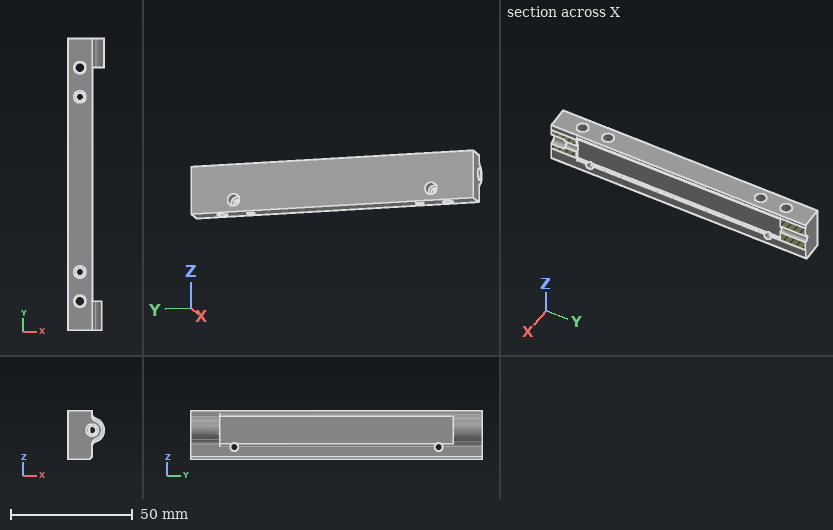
import cadquery as cq
import math

bar_width = 10.0
bar_length = 120.0
bar_height = 20.0
bottom_edge_chamfer = 1.0

barrel_axis_height = 12.0
barrel_length = 12.0
front_barrel_radius = 4.0
rear_barrel_radius = 5.0
barrel_blend_radius = 2.0
barrel_root_x = 9.0

channel_floor_x = 9.1
channel_height = 11.4

mouth_diameter = 5.0
mouth_depth = 6.0
drill_point_angle = 118.0
screw_diameter = 3.2
dowel_diameter = 4.2
hole_axis_x = bar_width / 2
dowel_y = 48.0
screw_y = 36.0
cross_hole_y = 42.0
cross_hole_z = 5.0
cross_hole_length = bar_width + barrel_blend_radius

end_y = bar_length / 2


def make_bar():
    bar = cq.Workplane("XY").box(bar_width, bar_length, bar_height, centered=(False, True, False))
    return bar.edges("|Y and >X and <Z").chamfer(bottom_edge_chamfer)


def make_barrel(radius, start_y, length):
    """Half-round barrel whose flanks blend into the bar with tangent concave arcs."""
    axis = cq.Vector(bar_width, barrel_axis_height)
    reach = radius + barrel_blend_radius
    blend_rise = math.sqrt(reach**2 - barrel_blend_radius**2)
    tangent_x = axis.x + barrel_blend_radius * radius / reach
    tangent_rise = blend_rise * radius / reach
    to_axis_angle = math.atan2(-blend_rise, -barrel_blend_radius)
    mid_angle = (to_axis_angle - math.pi) / 2
    mid_x = axis.x + barrel_blend_radius + barrel_blend_radius * math.cos(mid_angle)
    mid_rise = blend_rise + barrel_blend_radius * math.sin(mid_angle)
    profile = (
        cq.Workplane("XZ", origin=(0, start_y, 0))
        .moveTo(barrel_root_x, axis.y - blend_rise)
        .lineTo(axis.x, axis.y - blend_rise)
        .threePointArc((mid_x, axis.y - mid_rise), (tangent_x, axis.y - tangent_rise))
        .threePointArc((axis.x + radius, axis.y), (tangent_x, axis.y + tangent_rise))
        .threePointArc((mid_x, axis.y + mid_rise), (axis.x, axis.y + blend_rise))
        .lineTo(barrel_root_x, axis.y + blend_rise)
        .close()
    )
    return profile.extrude(-length)


def make_channel_cutter():
    channel_length = bar_length - 2 * barrel_length
    size_x = bar_width + rear_barrel_radius - channel_floor_x
    center = (channel_floor_x + size_x / 2, 0, barrel_axis_height)
    return cq.Workplane("XY", origin=center).box(size_x, channel_length, channel_height)


def make_hole_cutter(mouth, direction, bore_diameter, length):
    """Stepped hole starting at the mouth point and running along direction."""
    mouth_radius = mouth_diameter / 2
    bore_radius = bore_diameter / 2
    shoulder_depth = (mouth_radius - bore_radius) / math.tan(math.radians(drill_point_angle / 2))
    shoulder_start = mouth + direction * mouth_depth
    wide = cq.Solid.makeCylinder(mouth_radius, mouth_depth, mouth, direction)
    shoulder = cq.Solid.makeCone(mouth_radius, bore_radius, shoulder_depth, shoulder_start, direction)
    bore = cq.Solid.makeCylinder(bore_radius, length, mouth, direction)
    return cq.Workplane(bore.fuse(wide, shoulder))


result = make_bar()
result = result.union(make_barrel(front_barrel_radius, -end_y, barrel_length))
result = result.union(make_barrel(rear_barrel_radius, barrel_length - end_y, bar_length - barrel_length))
result = result.cut(make_channel_cutter())

down = cq.Vector(0, 0, -1)
across = cq.Vector(1, 0, 0)
for side in (-1, 1):
    for hole_y, bore_diameter in ((dowel_y, dowel_diameter), (screw_y, screw_diameter)):
        top_mouth = cq.Vector(hole_axis_x, side * hole_y, bar_height)
        result = result.cut(make_hole_cutter(top_mouth, down, bore_diameter, bar_height))
    back_mouth = cq.Vector(0, side * cross_hole_y, cross_hole_z)
    result = result.cut(make_hole_cutter(back_mouth, across, screw_diameter, cross_hole_length))

along = cq.Vector(0, 1, 0)
front_mouth = cq.Vector(bar_width, -end_y, barrel_axis_height)
result = result.cut(make_hole_cutter(front_mouth, along, screw_diameter, barrel_length))
rear_start = cq.Vector(bar_width, end_y - barrel_length, barrel_axis_height)
rear_bore = cq.Solid.makeCylinder(screw_diameter / 2, barrel_length, rear_start, along)
result = result.cut(cq.Workplane(rear_bore))